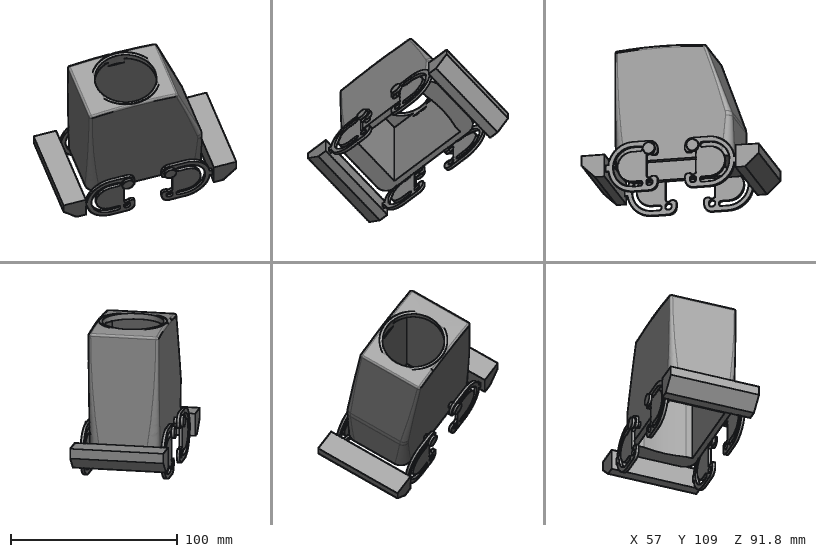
import cadquery as cq

hood_width = 42.8
hood_half_length = 36.5
hood_height = 71.9
front_top_y = -35.6
bend_y = 36.1
bend_z = 26.7
bend_reach = 1.4
back_top_y = 20.1
top_corner_z = 70.5
arch_radius = 272.5
top_fillet = 1.4

corner_radius_bottom = 7.0
corner_radius_top = 1.5

side_wall = 3.6
upper_wall = 4.0
cavity_half_length = 25.8
back_recess_width = 27.0
back_recess_depth = 1.5
entry_y = -5.9
entry_diameter = 37.1
entry_depth = 7.6
seat_diameter = 40.8
seat_depth = 0.5

pivot_y = 13.4
pivot_z = 6.1
lever_inner_x = 23.8
lever_thickness = 1.9
lever_mid_z = -4.4
lever_radius = 15.5
lever_arc_y = 23.3
lever_edge_y = 15.3
hook_tip_y = 8.5
hook_radius = 4.9
eye_diameter = 4.0
slot_radius = 10.9
slot_width = 3.3
slot_end_y = 17.7
slot_narrowing = 0.4
notch_start_z = -10.7
notch_floor_y = 13.4
notch_floor_z = -11.9
nose_start_y = 11.9
nose_z = -11.0
nose_radius = 2.0

pin_diameter = 4.0
head_diameter = 7.2
head_thickness = 1.7

bar_width = 57.0
bar_outer_y = 54.5
bar_inner_y = 40.3
bar_top_z = 3.6
bar_bottom_z = -10.2
bevel_length = 8.3
bevel_height = 7.8
tab_height = 3.9


def blend(z, z_start, z_end, y_start, y_end):
    """Value on the straight line from (z_start, y_start) to (z_end, y_end)."""
    return y_start + (y_end - y_start) * (z - z_start) / (z_end - z_start)


def front_y(z):
    return blend(z, 0, top_corner_z, -hood_half_length, front_top_y)


def lower_back_y(z):
    return blend(z, 0, bend_z, hood_half_length, bend_y)


def upper_back_y(z):
    return blend(z, bend_z, top_corner_z, bend_y, back_top_y)


def corner_radius(z):
    taper = (1 - z / top_corner_z) ** 2
    return corner_radius_top + (corner_radius_bottom - corner_radius_top) * taper


def half_section(z, end_y):
    """Half of the hood outline at height z: from y = 0 to a rounded end at end_y."""
    outer_vertices = ">Y" if end_y > 0 else "<Y"
    return (
        cq.Sketch()
        .rect(hood_width, abs(end_y))
        .vertices(outer_vertices)
        .fillet(corner_radius(z))
        .moved(cq.Location(cq.Vector(0, end_y / 2, z)))
    )


def loft_through(sections):
    return cq.Workplane("XY").placeSketch(*sections).loft()


def front_half():
    heights = (0, hood_height / 2, hood_height)
    return loft_through([half_section(z, front_y(z)) for z in heights])


def back_half():
    """Upright lower part, rounded bend and sloping upper part."""
    bend_start = bend_z - bend_reach
    bend_end = bend_z + bend_reach
    start_y = lower_back_y(bend_start)
    end_y = upper_back_y(bend_end)
    bend_mid_y = (bend_y + (start_y + end_y) / 2) / 2

    lower_heights = (0, bend_start / 2, bend_start)
    upper_heights = (bend_end, (bend_end + hood_height) / 2, hood_height)
    lower = loft_through([half_section(z, lower_back_y(z)) for z in lower_heights])
    upper = loft_through([half_section(z, upper_back_y(z)) for z in upper_heights])
    bend = loft_through(
        [
            half_section(bend_start, start_y),
            half_section(bend_z, bend_mid_y),
            half_section(bend_end, end_y),
        ]
    )
    return lower.union(bend).union(upper)


def hood_blank():
    arch = (
        cq.Workplane("YZ")
        .center(entry_y, hood_height - arch_radius)
        .circle(arch_radius)
        .extrude(hood_width, both=True)
    )
    blank = front_half().union(back_half()).intersect(arch)
    return blank.faces(">Z").edges().fillet(top_fillet)


def cavity():
    """Straight-sided cavity whose top and back follow the walls above it."""
    ceiling = hood_height - upper_wall
    slope_run = (bend_y - back_top_y) / (top_corner_z - bend_z)
    wall_along_y = upper_wall * (1 + slope_run**2) ** 0.5
    half_width = hood_width / 2 - side_wall
    back = cavity_half_length
    plan = (
        cq.Workplane("XY")
        .moveTo(-half_width, -cavity_half_length)
        .lineTo(half_width, -cavity_half_length)
        .lineTo(half_width, back)
        .lineTo(back_recess_width / 2, back)
        .threePointArc((0, back + back_recess_depth), (-back_recess_width / 2, back))
        .lineTo(-half_width, back)
        .close()
        .extrude(ceiling)
    )
    under_slope = (
        cq.Workplane("YZ")
        .moveTo(-hood_half_length, 0)
        .lineTo(upper_back_y(0) - wall_along_y, 0)
        .lineTo(upper_back_y(ceiling) - wall_along_y, ceiling)
        .lineTo(-hood_half_length, ceiling)
        .close()
        .extrude(hood_width, both=True)
    )
    return plan.intersect(under_slope)


def round_cut(diameter, depth):
    return (
        cq.Workplane("XY", origin=(0, entry_y, hood_height - depth))
        .circle(diameter / 2)
        .extrude(depth)
    )


def hood():
    return (
        hood_blank()
        .cut(cavity())
        .cut(round_cut(entry_diameter, entry_depth))
        .cut(round_cut(seat_diameter, seat_depth))
    )


def lever_half():
    """Lower half of a lever plate; the upper half is its mirror image."""
    bottom_z = lever_mid_z - lever_radius
    return (
        cq.Workplane("YZ", origin=(lever_inner_x, 0, 0))
        .moveTo(lever_edge_y, lever_mid_z)
        .lineTo(lever_edge_y, notch_start_z)
        .threePointArc((notch_floor_y, notch_floor_z), (nose_start_y, nose_z))
        .lineTo(hook_tip_y + nose_radius, nose_z)
        .tangentArcPoint((hook_tip_y, nose_z - nose_radius), relative=False)
        .lineTo(hook_tip_y, bottom_z + hook_radius)
        .tangentArcPoint((hook_tip_y + hook_radius, bottom_z), relative=False)
        .lineTo(lever_arc_y, bottom_z)
        .tangentArcPoint((lever_arc_y + lever_radius, lever_mid_z), relative=False)
        .close()
        .extrude(lever_thickness)
    )


def lever_slot():
    """U-shaped slot that follows the round end of the lever and narrows at its middle."""
    outer = slot_radius + slot_width / 2
    inner = slot_radius - slot_width / 2
    cap_y = slot_end_y + slot_width / 2
    return (
        cq.Workplane("YZ", origin=(lever_inner_x, 0, lever_mid_z))
        .moveTo(cap_y, outer)
        .lineTo(lever_arc_y, outer)
        .threePointArc((lever_arc_y + outer, 0), (lever_arc_y, -outer))
        .lineTo(cap_y, -outer)
        .threePointArc((slot_end_y, -slot_radius), (cap_y, -inner))
        .lineTo(lever_arc_y, -inner)
        .threePointArc((lever_arc_y + inner + slot_narrowing, 0), (lever_arc_y, inner))
        .lineTo(cap_y, inner)
        .threePointArc((slot_end_y, slot_radius), (cap_y, outer))
        .close()
        .extrude(lever_thickness)
    )


def lever():
    half = lever_half()
    upper_half = half.mirror("XY", (0, 0, lever_mid_z))
    eye = (
        cq.Workplane("YZ", origin=(lever_inner_x, pivot_y, 2 * lever_mid_z - pivot_z))
        .circle(eye_diameter / 2)
        .extrude(lever_thickness)
    )
    tab_start_y = lever_arc_y + slot_radius + slot_width / 2
    tab = cq.Workplane("XY").box(
        lever_thickness, bar_inner_y - tab_start_y, tab_height, centered=(False, False, True)
    )
    tab = tab.translate((lever_inner_x, tab_start_y, lever_mid_z))
    return half.union(upper_half).union(tab).cut(lever_slot()).cut(eye)


def pivot_pin():
    """Pin from the hood wall through the lever, with a round head outside."""
    start_x = hood_width / 2 - side_wall / 2
    head_x = lever_inner_x + lever_thickness
    shank = (
        cq.Workplane("YZ", origin=(start_x, pivot_y, pivot_z))
        .circle(pin_diameter / 2)
        .extrude(head_x - start_x)
    )
    head = (
        cq.Workplane("YZ", origin=(head_x, pivot_y, pivot_z))
        .circle(head_diameter / 2)
        .extrude(head_thickness)
    )
    return shank.union(head)


def handle_bar():
    return (
        cq.Workplane("YZ")
        .moveTo(bar_inner_y, bar_top_z)
        .lineTo(bar_outer_y, bar_top_z)
        .lineTo(bar_outer_y, bar_bottom_z + bevel_height)
        .lineTo(bar_outer_y - bevel_length, bar_bottom_z)
        .lineTo(bar_inner_y, bar_bottom_z)
        .close()
        .extrude(bar_width / 2, both=True)
    )


side_parts = lever().union(pivot_pin())
end_parts = handle_bar().union(side_parts).union(side_parts.mirror("YZ"))
result = hood().union(end_parts).union(end_parts.mirror("XZ"))